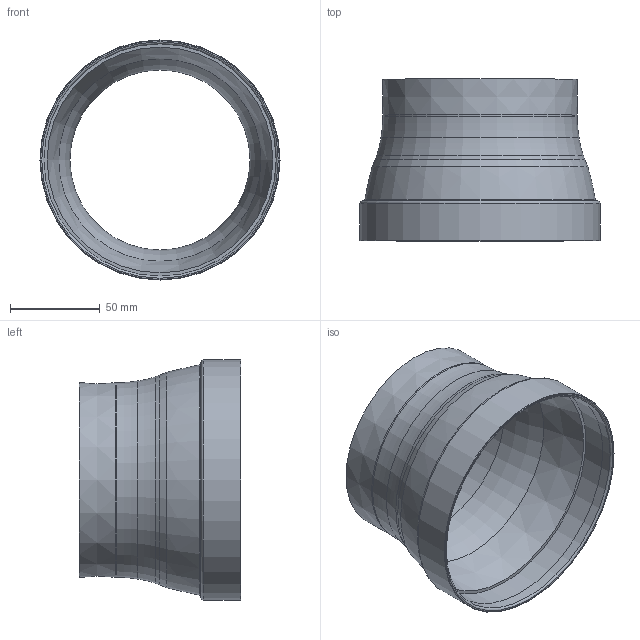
import cadquery as cq
import math

LENGTH = 90.0

SOCKET_OUTER_RADIUS = 66.79
SOCKET_SHOULDER = 22.2
SOCKET_BACK_ROUND = 1.4
SOCKET_BORE_RADIUS = 64.6
SOCKET_MOUTH_RADIUS = 64.7
SOCKET_LEAD_IN = 6.8
SOCKET_DEPTH = 20.0
LIP_OUTER_ROUND = 0.25
LIP_INNER_ROUND = 1.1

ROOT_FILLET = 0.9
DOME_START_RADIUS = 64.1
DOME_START = SOCKET_SHOULDER + ROOT_FILLET
DOME_BULGE = 0.3
DOME_END_RADIUS = 59.95
DOME_END = 41.3
FLARE_MIDDLE_RADIUS = 58.3
FLARE_MIDDLE = 45.2
NECK_START_RADIUS = 57.4
NECK_START = 47.6
NECK_SPLIT_RADIUS = 55.1
NECK_SPLIT = 57.4
NECK_END = 69.2

SPIGOT_START = 70.0
SPIGOT_RADIUS = 54.15
SPIGOT_TIP_RADIUS = 54.25
BORE_RADIUS = 50.1

INNER_CONE_START_RADIUS = 62.8
THROAT_START_RADIUS = 56.4
THROAT_START = 45.0

QUARTER_ROUND_OFFSET = math.sqrt(0.5)


def bulged_middle(start, end, bulge):
    """Middle point of an arc that stands `bulge` outside the chord from start to end."""
    radial = end[0] - start[0]
    axial = end[1] - start[1]
    chord = math.hypot(radial, axial)
    return (
        (start[0] + end[0]) / 2 + bulge * axial / chord,
        (start[1] + end[1]) / 2 - bulge * radial / chord,
    )


def arc_sagitta(start, end, tangent_turn):
    """Height over its chord of an arc whose end tangents are turned `tangent_turn` from the chord."""
    return math.dist(start, end) / 2 * math.tan(tangent_turn / 2)


def trumpet_middle(start, end):
    """Middle point of the hollow arc from `start` that ends at `end` parallel to the Y axis."""
    chord_angle = math.atan2(start[0] - end[0], end[1] - start[1])
    return bulged_middle(start, end, -arc_sagitta(start, end, chord_angle))


def neck_flare_middle(start, split, end):
    """Middle point of the hollow arc from start to split that runs smoothly into the last neck arc."""
    slope_at_split = 2 * math.atan2(split[0] - end[0], end[1] - split[1])
    chord_angle = math.atan2(start[0] - split[0], split[1] - start[1])
    return bulged_middle(start, split, -arc_sagitta(start, split, chord_angle - slope_at_split))


def quarter_round_middle(centre, radius, radial_side, axial_side):
    """Middle point of a quarter circle on the given sides of its centre."""
    offset = radius * QUARTER_ROUND_OFFSET
    return (centre[0] + radial_side * offset, centre[1] + axial_side * offset)


def add_socket_outside(path):
    """Outer lip round, socket wall, rounded back corner and fillet up to the body."""
    lip_centre = (SOCKET_OUTER_RADIUS - LIP_OUTER_ROUND, LIP_OUTER_ROUND)
    back_centre = (SOCKET_OUTER_RADIUS - SOCKET_BACK_ROUND, SOCKET_SHOULDER - SOCKET_BACK_ROUND)
    root_centre = (DOME_START_RADIUS + ROOT_FILLET, DOME_START)
    return (
        path.moveTo(lip_centre[0], 0)
        .threePointArc(
            quarter_round_middle(lip_centre, LIP_OUTER_ROUND, 1, -1),
            (SOCKET_OUTER_RADIUS, lip_centre[1]),
        )
        .lineTo(SOCKET_OUTER_RADIUS, back_centre[1])
        .threePointArc(
            quarter_round_middle(back_centre, SOCKET_BACK_ROUND, 1, 1),
            (back_centre[0], SOCKET_SHOULDER),
        )
        .lineTo(root_centre[0], SOCKET_SHOULDER)
        .threePointArc(
            quarter_round_middle(root_centre, ROOT_FILLET, -1, -1),
            (DOME_START_RADIUS, DOME_START),
        )
    )


def add_body_and_spigot_outside(path):
    """Domed stretch, two flared stretches, hollow neck and spigot."""
    dome_start = (DOME_START_RADIUS, DOME_START)
    dome_end = (DOME_END_RADIUS, DOME_END)
    neck_start = (NECK_START_RADIUS, NECK_START)
    neck_split = (NECK_SPLIT_RADIUS, NECK_SPLIT)
    neck_end = (SPIGOT_RADIUS, NECK_END)
    return (
        path.threePointArc(bulged_middle(dome_start, dome_end, DOME_BULGE), dome_end)
        .lineTo(FLARE_MIDDLE_RADIUS, FLARE_MIDDLE)
        .lineTo(*neck_start)
        .threePointArc(neck_flare_middle(neck_start, neck_split, neck_end), neck_split)
        .threePointArc(trumpet_middle(neck_split, neck_end), neck_end)
        .lineTo(SPIGOT_RADIUS, SPIGOT_START)
        .lineTo(SPIGOT_TIP_RADIUS, LENGTH)
    )


def add_inside(path):
    """Spigot bore, curved throat, inner cone, socket bore with its lead-in and inner lip round."""
    throat_start = (THROAT_START_RADIUS, THROAT_START)
    throat_end = (BORE_RADIUS, SPIGOT_START)
    lip_centre = (SOCKET_MOUTH_RADIUS + LIP_INNER_ROUND, LIP_INNER_ROUND)
    return (
        path.lineTo(BORE_RADIUS, LENGTH)
        .lineTo(*throat_end)
        .threePointArc(
            trumpet_middle(throat_start, throat_end),
            throat_start,
        )
        .lineTo(INNER_CONE_START_RADIUS, SOCKET_DEPTH)
        .lineTo(SOCKET_BORE_RADIUS, SOCKET_DEPTH)
        .lineTo(SOCKET_BORE_RADIUS, SOCKET_LEAD_IN)
        .lineTo(SOCKET_MOUTH_RADIUS, lip_centre[1])
        .threePointArc(
            quarter_round_middle(lip_centre, LIP_INNER_ROUND, -1, -1),
            (lip_centre[0], 0),
        )
        .close()
    )


profile = cq.Workplane("XY")
profile = add_socket_outside(profile)
profile = add_body_and_spigot_outside(profile)
profile = add_inside(profile)

result = profile.revolve(360, (0, 0, 0), (0, 1, 0))